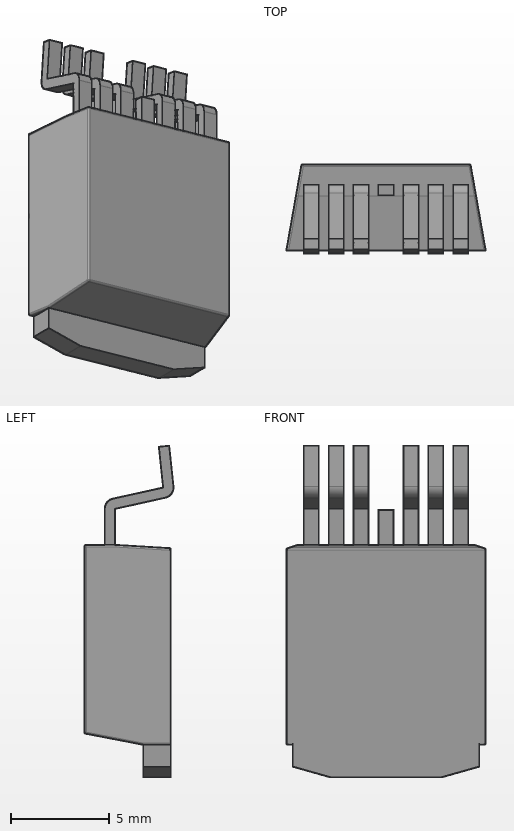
import cadquery as cq
import math

body_depth = 4.41
body_front_width = 10.17
body_back_width = 8.62
body_bottom_z = 1.65
body_top_z = 11.85
body_top_front_z = 11.68
body_bottom_back_z = 2.23
top_slope_start_y = 2.8
edge_radius = 0.1
front_edge_radius = 0.05

tab_width = 9.51
tab_tip_width = 5.68
tab_thickness = 1.42
tab_taper_height = 0.54
tab_overlap = 0.34

lead_pitch = 1.27
lead_width = 0.78
lead_thickness = 0.54
lead_front_y = 2.84
lead_top_z = 16.9
lead_reach_y = -0.14
lower_bend_z = 13.67
arm_angle = math.radians(12.5)
tip_lean = math.radians(6)
short_lead_top_z = 13.62
lead_root_z = body_top_z - 0.85
leads_per_side = 3


def make_body():
    """Side outline and plan taper intersected, with rounded outer edges."""
    side = (
        cq.Workplane("YZ")
        .polyline([
            (0, body_bottom_z),
            (tab_thickness, body_bottom_z),
            (body_depth, body_bottom_back_z),
            (body_depth, body_top_z),
            (top_slope_start_y, body_top_z),
            (0, body_top_front_z),
        ])
        .close()
        .extrude(body_front_width / 2, both=True)
    )
    plan = (
        cq.Workplane("XY")
        .polyline([
            (-body_front_width / 2, 0),
            (body_front_width / 2, 0),
            (body_back_width / 2, body_depth),
            (-body_back_width / 2, body_depth),
        ])
        .close()
        .extrude(lead_top_z)
    )
    body = side.intersect(plan)
    main_edges = (
        body.faces(">Y").edges()
        .add(body.faces("<X").edges("not <Y"))
        .add(body.faces(">X").edges("not <Y"))
        .add(body.faces("<Y").edges(">Z"))
    )
    rounded = body.newObject(main_edges.vals()).fillet(edge_radius)
    return rounded.faces("<Y").edges("not >Z").fillet(front_edge_radius)


def make_tab():
    """Plate with a tapered lower end, running up into the body."""
    tab_top_z = body_bottom_z + tab_overlap
    return (
        cq.Workplane("XZ")
        .polyline([
            (-tab_tip_width / 2, 0),
            (tab_tip_width / 2, 0),
            (tab_width / 2, tab_taper_height),
            (tab_width / 2, tab_top_z),
            (-tab_width / 2, tab_top_z),
            (-tab_width / 2, tab_taper_height),
        ])
        .close()
        .extrude(-tab_thickness)
    )


def offset(point, angle, distance):
    """Point moved by a distance at an angle measured from +Y towards +Z."""
    return (point[0] + distance * math.cos(angle), point[1] + distance * math.sin(angle))


def make_long_lead(x):
    """Lead bent forward then up; each bend is sharp inside and round outside."""
    t = lead_thickness
    arm_up = math.pi / 2 - arm_angle
    arm_down = arm_up + math.pi
    tip_forward = math.pi - tip_lean
    tip_up = math.pi / 2 - tip_lean

    lower_bend = (lead_front_y, lower_bend_z)
    upper_bend_y = lead_reach_y + t
    arm_run = lead_front_y + t * math.sin(arm_angle) - upper_bend_y
    arm_rise = arm_run * math.tan(arm_angle)
    upper_bend = (upper_bend_y, lower_bend_z + t * math.cos(arm_angle) + arm_rise)
    tip_length = (lead_top_z - upper_bend[1] - t * math.sin(tip_lean)) / math.cos(tip_lean)
    tip_inner = offset(upper_bend, tip_up, tip_length)

    return (
        cq.Workplane("YZ", origin=(x - lead_width / 2, 0, 0))
        .moveTo(lead_front_y, lead_root_z)
        .lineTo(*lower_bend)
        .lineTo(*offset(upper_bend, arm_down, t))
        .threePointArc(
            offset(upper_bend, (arm_down + tip_forward) / 2, t),
            offset(upper_bend, tip_forward, t),
        )
        .lineTo(*offset(tip_inner, tip_forward, t))
        .lineTo(*tip_inner)
        .lineTo(*upper_bend)
        .lineTo(*offset(lower_bend, arm_up, t))
        .threePointArc(
            offset(lower_bend, arm_up / 2, t),
            offset(lower_bend, 0, t),
        )
        .lineTo(lead_front_y + t, lead_root_z)
        .close()
        .extrude(lead_width)
    )


def make_short_lead():
    """Straight cut-off lead on the centre line."""
    return cq.Workplane("XY", origin=(0, lead_front_y, lead_root_z)).box(
        lead_width, lead_thickness, short_lead_top_z - lead_root_z, centered=(True, False, False)
    )


result = make_body().union(make_tab()).union(make_short_lead())
for index in range(1, leads_per_side + 1):
    for side_sign in (-1, 1):
        result = result.union(make_long_lead(side_sign * index * lead_pitch))
result = result.clean()